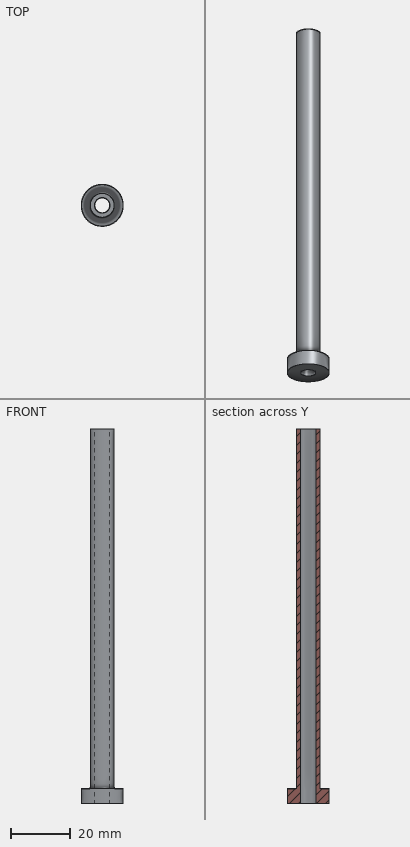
import cadquery as cq

total_length = 125.0
head_diameter = 14.0
head_height = 5.0
tube_diameter = 8.0
bore_diameter = 5.0
root_fillet_radius = 0.5


def headed_blank():
    """Solid head and shank, blended by a fillet at the shank root."""
    head = cq.Workplane("XY").circle(head_diameter / 2).extrude(head_height)
    shank = cq.Workplane("XY").circle(tube_diameter / 2).extrude(total_length)
    root_half_width = tube_diameter / 2 + root_fillet_radius
    root_edge = cq.selectors.BoxSelector(
        (-root_half_width, -root_half_width, head_height - root_fillet_radius),
        (root_half_width, root_half_width, head_height + root_fillet_radius),
        boundingbox=True,
    )
    return head.union(shank).edges(root_edge).fillet(root_fillet_radius)


def through_bore():
    return cq.Workplane("XY").circle(bore_diameter / 2).extrude(total_length)


result = headed_blank().cut(through_bore())